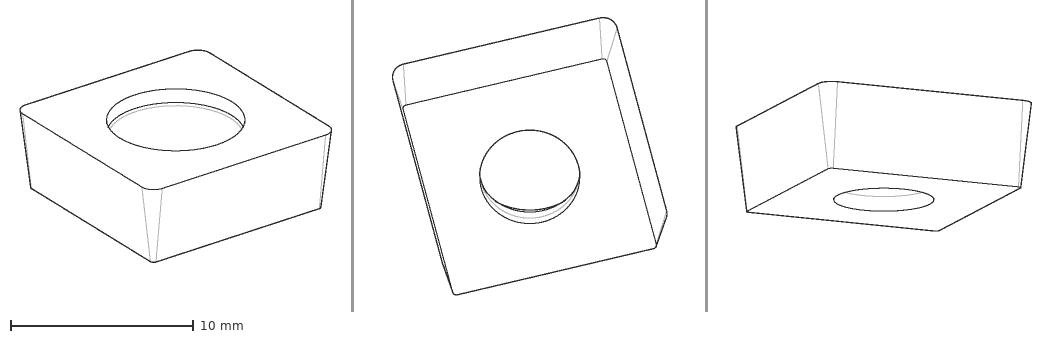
import cadquery as cq
import math

side = 12.7
height = 4.76
clearance_angle = 7.0
top_corner_radius = 0.8

bore_diameter = 5.5
recess_diameter = 7.6
recess_depth = 0.84
seat_diameter = 7.42
seat_depth = 0.99
seat_arc_radius = 5.0


def tapered_plate():
    """Rounded square, full size on top, with sides leaning inward toward the base."""
    inset = height * math.tan(math.radians(clearance_angle))
    base_side = side - 2 * inset
    base_corner_radius = top_corner_radius - inset
    base = cq.Sketch().rect(base_side, base_side).vertices().fillet(base_corner_radius)
    return cq.Workplane("XY").placeSketch(base).extrude(height, taper=-clearance_angle)


def screw_hole():
    """Through bore, a bowl-shaped screw seat, a narrow cone and a cylindrical recess on top."""
    bore_radius = bore_diameter / 2
    recess_radius = recess_diameter / 2
    seat_radius = seat_diameter / 2
    recess_floor = height - recess_depth
    seat_top = height - seat_depth
    arc_centre_x = bore_radius + seat_arc_radius
    arc_end_angle = math.acos((arc_centre_x - seat_radius) / seat_arc_radius)
    arc_start_z = seat_top - seat_arc_radius * math.sin(arc_end_angle)
    arc_middle = (
        arc_centre_x - seat_arc_radius * math.cos(arc_end_angle / 2),
        arc_start_z + seat_arc_radius * math.sin(arc_end_angle / 2),
    )
    return (
        cq.Workplane("XZ")
        .lineTo(bore_radius, 0)
        .lineTo(bore_radius, arc_start_z)
        .threePointArc(arc_middle, (seat_radius, seat_top))
        .lineTo(recess_radius, recess_floor)
        .lineTo(recess_radius, height)
        .lineTo(0, height)
        .close()
        .revolve(360, (0, 0, 0), (0, 1, 0))
    )


result = tapered_plate().cut(screw_hole())